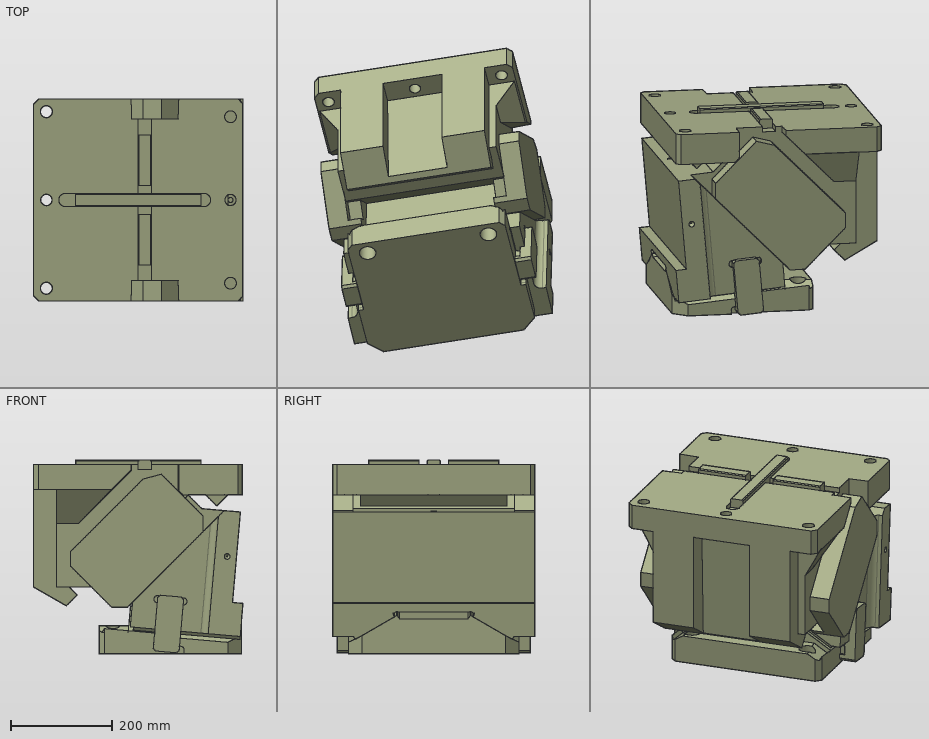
import cadquery as cq
import math

TILT = math.radians(5)
LONG = 1660.5
SIDES = (-1, 1)

WALL_Y = 160.0
PLATE_TOP = 375.3
PLATE_BOTTOM = 325.5
PLATE_RIGHT_BOTTOM = 314.5
PLATE_LENGTH = 414.0
HALF_WIDTH = 200.0
OVERALL_LENGTH = 415.0
HOLE_RIGHT_X = 390.2

SLIDE_PLANE_DROP = -8.0
GUIDE_LOW_DROP = 94.0
GUIDE_HIGH_DROP = -129.0
GUIDE_LOW_CLIMB = 247.5
GUIDE_HIGH_CLIMB = 609.0
CARRIAGE_END_CLIMB = 621.0

LEAN_ORIGIN = (191.8, 0, 53.5)
ALONG = (math.cos(TILT), 0, -math.sin(TILT))
lean_plane = cq.Plane(origin=LEAN_ORIGIN, xDir=ALONG, normal=(0, -1, 0))
ridge_plane = cq.Plane(origin=LEAN_ORIGIN, xDir=(0, 1, 0), normal=ALONG)


def travel_point(drop, climb):
    """XZ point from its drop and climb."""
    return ((climb + drop) / 2, (climb - drop) / 2)


def drop_at_z(drop, z):
    """XZ point where a line of constant drop reaches height z."""
    return (z + drop, z)


def climb_at_z(climb, z):
    """XZ point where a line of constant climb reaches height z."""
    return (climb - z, z)


def across(points, y_from, y_to):
    """Extrude an XZ outline from y_from to y_to (y_from < y_to)."""
    return cq.Workplane("XZ", origin=(0, y_to, 0)).polyline(points).close().extrude(y_to - y_from)


def lean_box(a_from, a_to, b_from, b_to, y_from, y_to):
    """Box square to the leaning frame: a along the ridge, b away from it."""
    return (
        cq.Workplane(lean_plane)
        .workplane(offset=-y_to)
        .moveTo((a_from + a_to) / 2, (b_from + b_to) / 2)
        .rect(a_to - a_from, b_to - b_from)
        .extrude(y_to - y_from)
    )


def nearest_edge(a, b, y):
    """Selector for the edge nearest to a point of the leaning frame."""
    point = lean_plane.toWorldCoords((a, b, -y))
    return cq.selectors.NearestToPointSelector(point.toTuple())


def both_sides(shape):
    """A shape together with its mirror image across Y = 0."""
    return shape.union(shape.mirror("XZ"))


ROOF_ANGLE = math.radians(30)
ROOF_SLOPE = math.tan(ROOF_ANGLE)
RIDGE_HALF = 74.0
EAVE_HALF = 159.0
EAVE_HEIGHT = -8.0
RIDGE_TOP = EAVE_HEIGHT + (EAVE_HALF - RIDGE_HALF) * ROOF_SLOPE
CHANNEL_LIFT = -EAVE_HEIGHT
ROOF_DEPTH = 124.5


def roof_prism(lift):
    """Ridge-shaped prism along the leaning axis, raised by lift above the driver ridge."""
    top = RIDGE_TOP + lift
    low = top - (HALF_WIDTH - RIDGE_HALF) * ROOF_SLOPE
    outline = [
        (-HALF_WIDTH, low), (-RIDGE_HALF, top), (RIDGE_HALF, top), (HALF_WIDTH, low),
        (HALF_WIDTH, low - ROOF_DEPTH), (-HALF_WIDTH, low - ROOF_DEPTH),
    ]
    return cq.Workplane(ridge_plane).polyline(outline).close().extrude(LONG / 2, both=True)


DRIVER_LEFT = 130.0
DRIVER_RIGHT = 412.2
DRIVER_CHAMFER = 10.5
RIGHT_CHAMFER = 27.5
RAIL_LEFT = 240.8
RAIL_HALF = 169.0
PAD_TOP = 56.0
PAD_ROOF_DROP = 10.5
RIDGE_FRONT = -3.5
GROOVE_FLOOR_HALF = 67.5
GROOVE_FLOOR = 35.0
GROOVE_TOP_HALF = 72.2
PAD_HOLE_X = 155.5
PAD_HOLE_Y = 122.0
PAD_HOLE_DIAMETER = 33.0
TOE_NOTCH_END = 110.0
TOE_NOTCH_TOP = -29.5
TOE_NOTCH_RADIUS = 6.5


def driver_footprint():
    half = [
        (DRIVER_LEFT, EAVE_HALF - DRIVER_CHAMFER),
        (DRIVER_LEFT + DRIVER_CHAMFER, EAVE_HALF),
        (RAIL_LEFT, EAVE_HALF),
        (RAIL_LEFT, RAIL_HALF),
        (DRIVER_RIGHT - RIGHT_CHAMFER, RAIL_HALF),
        (DRIVER_RIGHT, RAIL_HALF - RIGHT_CHAMFER),
    ]
    other_half = [(x, -y) for x, y in reversed(half)]
    return cq.Workplane("XY").polyline(half + other_half).close().extrude(PLATE_TOP)


def above_pad():
    """Space above the pad: over its flat top and its sloping sides, between the sharp side lips."""
    step = PAD_ROOF_DROP * math.cos(ROOF_ANGLE)
    valley_y = EAVE_HALF - step * math.sin(ROOF_ANGLE)
    valley_b = EAVE_HEIGHT - step * math.cos(ROOF_ANGLE)
    outline = [
        (-EAVE_HALF, LONG), (-EAVE_HALF, EAVE_HEIGHT), (-valley_y, valley_b),
        (valley_y, valley_b), (EAVE_HALF, EAVE_HEIGHT), (EAVE_HALF, LONG),
    ]
    ahead = cq.Workplane(ridge_plane).workplane(offset=RIDGE_FRONT).polyline(outline).close().extrude(-LONG)
    below_top = cq.Workplane("XY", origin=(0, 0, PAD_TOP)).rect(LONG, LONG).extrude(-LONG)
    return ahead.cut(roof_prism(-PAD_ROOF_DROP).intersect(below_top))


def ridge_groove():
    outline = [
        (-GROOVE_FLOOR_HALF, GROOVE_FLOOR), (GROOVE_FLOOR_HALF, GROOVE_FLOOR),
        (GROOVE_TOP_HALF, RIDGE_TOP), (-GROOVE_TOP_HALF, RIDGE_TOP),
    ]
    return cq.Workplane(ridge_plane).polyline(outline).close().extrude(LONG / 2, both=True)


def toe_notch():
    """Notch under the rail for the toe of a retainer, rounded at its top right."""
    notch = lean_box(0, TOE_NOTCH_END, -ROOF_DEPTH, TOE_NOTCH_TOP, EAVE_HALF, RAIL_HALF)
    corner = nearest_edge(TOE_NOTCH_END, TOE_NOTCH_TOP, (EAVE_HALF + RAIL_HALF) / 2)
    return notch.edges(corner).fillet(TOE_NOTCH_RADIUS)


def make_driver():
    body = driver_footprint().intersect(roof_prism(0)).cut(above_pad()).cut(ridge_groove())
    holes = (
        cq.Workplane("XY")
        .pushPoints([(PAD_HOLE_X, side * PAD_HOLE_Y) for side in SIDES])
        .circle(PAD_HOLE_DIAMETER / 2)
        .extrude(PAD_TOP)
    )
    return body.cut(both_sides(toe_notch())).cut(holes)


BODY_HEIGHT = 245.8
FOOT_HEIGHT = 66.0
FOOT_STEP = 20.8
BODY_LENGTH = (OVERALL_LENGTH - LEAN_ORIGIN[0] - FOOT_HEIGHT * math.sin(TILT)) / math.cos(TILT)
CHEEK_START = 155.0
CHEEK_RADIUS = 14.5
BODY_HALF = 177.5
LEG_INNER_Y = 134.0
LEG_STEP_DROP = 47.5
LEG_STEP_CLIMB = 296.5
GUIDE_LEFT = 74.0
GUIDE_BOTTOM = 92.0
GUIDE_RIGHT = 335.5
GUIDE_PEAK_Z = 355.8
GUIDE_SHOULDER_Z = 346.2
SIDE_HOLE_X = 383.5
SIDE_HOLE_Z = 193.0
SIDE_HOLE_DIAMETER = 11.2
SIDE_HOLE_DEPTH = 8.5
SIDE_HOLE_TAPER = 30
TOP_HOLE_DIAMETER = 10.0
TOP_HOLE_DEPTH = 16.5
WEAR_PAD_START = 6.2
WEAR_PAD_INNER_Y = 81.0
RETAINER_START = 49.0
RETAINER_WIDTH = 51.5
RETAINER_BOTTOM = -43.0
RETAINER_TOP = 67.5
RETAINER_HALF = 191.5
RETAINER_CHAMFER = 5.0
TOE_TOP = -30.5
RELIEF_RADIUS = 7.0
RELIEF_CENTRE_DROP = 8.5
RELIEF_DEPTH = 8.5


def below_line(drop, half_width):
    """Space to the lower right of a 45 degree line, within +-half_width."""
    corners = [(drop, -LONG), (drop, LONG), (LONG, LONG), (LONG, -LONG)]
    return across([travel_point(*corner) for corner in corners], -half_width, half_width)


def leaning_body(half_width):
    """Full leaning profile with the rear foot, extruded to +-half_width."""
    rear = BODY_LENGTH - FOOT_STEP
    outline = [
        (0, 0), (BODY_LENGTH, 0), (BODY_LENGTH, FOOT_HEIGHT), (rear, FOOT_HEIGHT),
        (rear, BODY_HEIGHT), (0, BODY_HEIGHT),
    ]
    return cq.Workplane(lean_plane).polyline(outline).close().extrude(half_width, both=True)


def cheek_recess():
    """Space beside the narrower front of the body, rounded where the cheek starts."""
    recess = lean_box(-LONG, CHEEK_START, -LONG, LONG, BODY_HALF, LONG)
    return recess.edges(nearest_edge(CHEEK_START, 0, BODY_HALF)).fillet(CHEEK_RADIUS)


def carriage():
    """Inclined block under the sliding plane, forked into two stepped legs at its lower end."""
    outline = [
        travel_point(SLIDE_PLANE_DROP, LEG_STEP_CLIMB),
        travel_point(LEG_STEP_DROP, LEG_STEP_CLIMB),
        travel_point(LEG_STEP_DROP, GUIDE_LOW_CLIMB),
        climb_at_z(GUIDE_LOW_CLIMB, GUIDE_BOTTOM),
        drop_at_z(GUIDE_LOW_DROP, GUIDE_BOTTOM),
        travel_point(GUIDE_LOW_DROP, CARRIAGE_END_CLIMB),
        travel_point(SLIDE_PLANE_DROP, CARRIAGE_END_CLIMB),
    ]
    fork = lean_box(-LONG, 0, -LONG, LONG, -LEG_INNER_Y, LEG_INNER_Y)
    return across(outline, -WALL_Y, WALL_Y).cut(fork)


def guide_plate():
    outline = [
        (GUIDE_LEFT, GUIDE_LEFT - GUIDE_HIGH_DROP),
        drop_at_z(GUIDE_HIGH_DROP, GUIDE_SHOULDER_Z),
        climb_at_z(GUIDE_HIGH_CLIMB, GUIDE_PEAK_Z),
        (GUIDE_RIGHT, GUIDE_HIGH_CLIMB - GUIDE_RIGHT),
        (GUIDE_RIGHT, GUIDE_RIGHT - GUIDE_LOW_DROP),
        drop_at_z(GUIDE_LOW_DROP, GUIDE_BOTTOM),
        climb_at_z(GUIDE_LOW_CLIMB, GUIDE_BOTTOM),
        (GUIDE_LEFT, GUIDE_LOW_CLIMB - GUIDE_LEFT),
    ]
    return across(outline, WALL_Y, HALF_WIDTH)


def wear_pad():
    """Strip on one slope of the channel that rests on the driver ridge."""
    thickness = CHANNEL_LIFT * math.cos(ROOF_ANGLE)
    step_y = thickness * math.sin(ROOF_ANGLE)
    step_b = thickness * math.cos(ROOF_ANGLE)
    inner_b = (EAVE_HALF - WEAR_PAD_INNER_Y) * ROOF_SLOPE
    outline = [
        (EAVE_HALF, 0), (WEAR_PAD_INNER_Y, inner_b),
        (WEAR_PAD_INNER_Y - step_y, inner_b - step_b), (EAVE_HALF - step_y, -step_b),
    ]
    return (
        cq.Workplane(ridge_plane)
        .workplane(offset=WEAR_PAD_START)
        .polyline(outline)
        .close()
        .extrude(BODY_LENGTH - WEAR_PAD_START)
    )


def retainer():
    """Side plate hanging from the slide, with a toe that reaches under the driver rail."""
    end = RETAINER_START + RETAINER_WIDTH
    full = lean_box(RETAINER_START, end, RETAINER_BOTTOM, RETAINER_TOP, EAVE_HALF, RETAINER_HALF)
    full = full.edges("|Y").chamfer(RETAINER_CHAMFER)
    rail_space = lean_box(0, LONG, TOE_TOP, LONG, 0, RAIL_HALF)
    return full.cut(rail_space)


def retainer_reliefs():
    """Round corner reliefs in the slide beside the top of a retainer."""
    centre = RETAINER_TOP - RELIEF_CENTRE_DROP
    points = [(RETAINER_START, centre), (RETAINER_START + RETAINER_WIDTH, centre)]
    return (
        cq.Workplane(lean_plane)
        .workplane(offset=-BODY_HALF)
        .pushPoints(points)
        .circle(RELIEF_RADIUS)
        .extrude(RELIEF_DEPTH)
    )


def side_hole():
    return (
        cq.Workplane("XZ", origin=(0, HALF_WIDTH, 0))
        .moveTo(SIDE_HOLE_X, SIDE_HOLE_Z)
        .circle(SIDE_HOLE_DIAMETER / 2)
        .extrude(SIDE_HOLE_DEPTH, taper=SIDE_HOLE_TAPER)
    )


def top_hole():
    """Blind hole in the leaning top of the slide, under the right middle plate hole."""
    fall = (HOLE_RIGHT_X - LEAN_ORIGIN[0]) * math.sin(TILT)
    top_z = LEAN_ORIGIN[2] + (BODY_HEIGHT - fall) / math.cos(TILT)
    return (
        cq.Workplane("XY", origin=(HOLE_RIGHT_X, 0, top_z - TOP_HOLE_DEPTH))
        .circle(TOP_HOLE_DIAMETER / 2)
        .extrude(2 * TOP_HOLE_DEPTH)
    )


def make_slide():
    cheeks = leaning_body(HALF_WIDTH).cut(both_sides(cheek_recess()))
    cheeks = cheeks.intersect(below_line(GUIDE_LOW_DROP, HALF_WIDTH))
    core = leaning_body(WALL_Y).intersect(below_line(SLIDE_PLANE_DROP, WALL_Y))
    body = cheeks.union(core).union(carriage())
    body = body.cut(roof_prism(CHANNEL_LIFT)).union(both_sides(wear_pad()))
    body = body.cut(both_sides(retainer_reliefs())).cut(both_sides(side_hole())).cut(top_hole())
    return body.union(both_sides(guide_plate())).union(both_sides(retainer()))


LEFT_CHAMFER = 10.5
RIGHT_END_CHAMFER = 8.7
BLOCK_HALF = 145.5
BLOCK_BOTTOM = 132.5
WALL_LEFT = 45.5
HOOK_TIP = (65.0, 95.0)
HOOK_HEEL = (86.8, 116.5)
POCKET_HALF = 59.5
POCKET_TOP_DEPTH = 45.5
POCKET_BOTTOM_DEPTH = 54.0
GUSSET_HALF = 196.8
GUSSET_BOTTOM = 258.5
NOTCH_LEFT = 194.5
NOTCH_RIGHT = 286.5
NOTCH_DROP = -169.0
NOTCH_DRAFT = 2
NUB_TIP = (363.2, 292.5)
HOLE_LEFT_X = 25.7
HOLE_LEFT_Y = 174.8
HOLE_RIGHT_Y = 165.0
CORNER_HOLE_DIAMETER = 23.2
MIDDLE_HOLE_DIAMETER = 22.0
KEY_WIDTH = 26.0
KEY_TOP = 384.0
KEY_CHAMFER = 2.0
SLOT_FLOOR = 365.5
SLOT_START = 50.2
SLOT_END = 350.8
LONG_KEY_START = 83.5
LONG_KEY_END = 332.0
CROSS_SLOT_X = 220.5
CROSS_KEY_INNER = 29.0
CROSS_KEY_OUTER = 128.5


def mounting_plate():
    outline = [
        (0, PLATE_TOP), (0, PLATE_BOTTOM), (NOTCH_RIGHT, PLATE_BOTTOM),
        (NOTCH_RIGHT, PLATE_RIGHT_BOTTOM), (PLATE_LENGTH, PLATE_RIGHT_BOTTOM),
        (PLATE_LENGTH, PLATE_TOP),
    ]
    plate = across(outline, -HALF_WIDTH, HALF_WIDTH)
    plate = plate.edges("|Z and <X").chamfer(LEFT_CHAMFER)
    return plate.edges("|Z and >X").chamfer(RIGHT_END_CHAMFER)


def front_block():
    """Block with the hooked lower lip."""
    outline = [
        (0, PLATE_BOTTOM), (0, BLOCK_BOTTOM), HOOK_TIP, HOOK_HEEL,
        climb_at_z(sum(HOOK_HEEL), BLOCK_BOTTOM),
        drop_at_z(SLIDE_PLANE_DROP, BLOCK_BOTTOM),
        drop_at_z(SLIDE_PLANE_DROP, PLATE_BOTTOM),
    ]
    return across(outline, -BLOCK_HALF, BLOCK_HALF)


def front_pocket():
    """Pocket in the left face, with a slightly sloping floor, open at the bottom."""
    outline = [
        (0, PLATE_BOTTOM), (POCKET_TOP_DEPTH, PLATE_BOTTOM),
        (POCKET_BOTTOM_DEPTH, HOOK_TIP[1]), (0, HOOK_TIP[1]),
    ]
    return across(outline, -POCKET_HALF, POCKET_HALF)


def wall_block():
    """Block between the outer wall faces, above the sliding plane."""
    outline = [
        (WALL_LEFT, PLATE_BOTTOM), (WALL_LEFT, BLOCK_BOTTOM),
        drop_at_z(SLIDE_PLANE_DROP, BLOCK_BOTTOM),
        drop_at_z(SLIDE_PLANE_DROP, PLATE_RIGHT_BOTTOM),
        (NOTCH_RIGHT, PLATE_BOTTOM),
    ]
    return across(outline, -WALL_Y, WALL_Y)


def gusset():
    """Sloping web between a side wall and the plate underside."""
    section = [
        (WALL_Y, PLATE_BOTTOM), (GUSSET_HALF, PLATE_BOTTOM), (WALL_Y, GUSSET_BOTTOM),
    ]
    length = NOTCH_LEFT - WALL_LEFT
    return cq.Workplane("YZ", origin=(WALL_LEFT, 0, 0)).polyline(section).close().extrude(length)


def guide_notch():
    """Opening beside a side wall that clears the guide plate and widens outwards."""
    outline = [
        (NOTCH_LEFT, PLATE_TOP),
        (NOTCH_LEFT, NOTCH_LEFT - NOTCH_DROP),
        drop_at_z(NOTCH_DROP, GUIDE_BOTTOM),
        climb_at_z(GUIDE_HIGH_CLIMB, GUIDE_BOTTOM),
        (NOTCH_RIGHT, GUIDE_HIGH_CLIMB - NOTCH_RIGHT),
        (NOTCH_RIGHT, PLATE_TOP),
    ]
    inner = cq.Workplane("XZ", origin=(0, -WALL_Y, 0)).polyline(outline).close()
    return inner.extrude(HALF_WIDTH - WALL_Y, taper=-NOTCH_DRAFT)


def nub():
    """Triangular stop under the right end of the plate."""
    tip_x, tip_z = NUB_TIP
    reach = PLATE_RIGHT_BOTTOM - tip_z
    outline = [
        NUB_TIP, (tip_x + reach, PLATE_RIGHT_BOTTOM), (tip_x - reach, PLATE_RIGHT_BOTTOM),
    ]
    return across(outline, -BLOCK_HALF, BLOCK_HALF)


def plate_holes():
    corners = [(HOLE_LEFT_X, side * HOLE_LEFT_Y) for side in SIDES]
    corners += [(HOLE_RIGHT_X, side * HOLE_RIGHT_Y) for side in SIDES]
    middles = [(HOLE_LEFT_X, 0), (HOLE_RIGHT_X, 0)]
    base = cq.Workplane("XY", origin=(0, 0, PLATE_RIGHT_BOTTOM))
    depth = PLATE_TOP - PLATE_RIGHT_BOTTOM
    corner_holes = base.pushPoints(corners).circle(CORNER_HOLE_DIAMETER / 2).extrude(depth)
    middle_holes = base.pushPoints(middles).circle(MIDDLE_HOLE_DIAMETER / 2).extrude(depth)
    return corner_holes.union(middle_holes)


def key_slots():
    """Round-ended slot along X and open slot along Y, crossing in the plate top."""
    depth = PLATE_TOP - SLOT_FLOOR
    along = (
        cq.Workplane("XY", origin=((SLOT_START + SLOT_END) / 2, 0, SLOT_FLOOR))
        .slot2D(SLOT_END - SLOT_START, KEY_WIDTH)
        .extrude(depth)
    )
    cross = (
        cq.Workplane("XY", origin=(CROSS_SLOT_X, 0, SLOT_FLOOR))
        .rect(KEY_WIDTH, 2 * WALL_Y)
        .extrude(depth)
    )
    return along.union(cross)


def key(length):
    """Key along X, centred on the origin, with its long top edges chamfered."""
    bar = cq.Workplane("XY", origin=(0, 0, SLOT_FLOOR)).rect(length, KEY_WIDTH)
    return bar.extrude(KEY_TOP - SLOT_FLOOR).edges("|X and >Z").chamfer(KEY_CHAMFER)


def make_holder():
    body = mounting_plate().union(front_block()).union(wall_block()).cut(front_pocket())
    body = body.union(both_sides(gusset())).union(nub())
    body = body.cut(both_sides(guide_notch())).cut(plate_holes()).cut(key_slots())
    long_key = key(LONG_KEY_END - LONG_KEY_START)
    body = body.union(long_key.translate(((LONG_KEY_START + LONG_KEY_END) / 2, 0, 0)))
    cross_key = key(CROSS_KEY_OUTER - CROSS_KEY_INNER).rotate((0, 0, 0), (0, 0, 1), 90)
    for side in SIDES:
        cross_y = side * (CROSS_KEY_INNER + CROSS_KEY_OUTER) / 2
        body = body.union(cross_key.translate((CROSS_SLOT_X, cross_y, 0)))
    return body


driver = make_driver()
slide = make_slide()
holder = make_holder()
result = cq.Compound.makeCompound([body.solids().val() for body in (driver, slide, holder)])